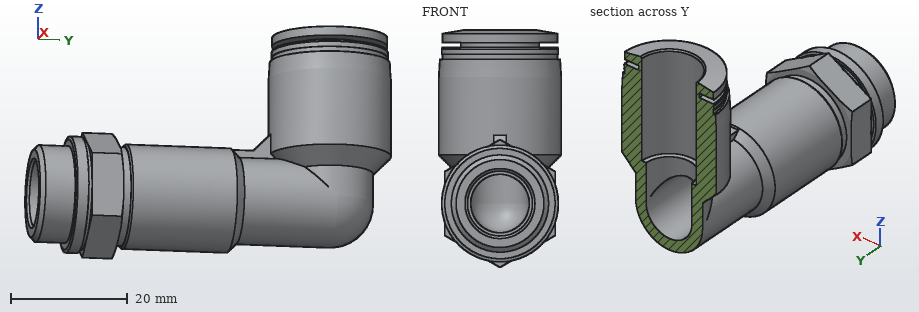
import cadquery as cq
import math


ELBOW_RADIUS = 14.9 / 2
BORE_RADIUS = 10.0 / 2

BODY_RADIUS = 21.0 / 2
BODY_RIM_RADIUS = 10.3
BODY_CONE_BOTTOM = 5.3
BODY_BOTTOM = BODY_CONE_BOTTOM + BODY_RADIUS - ELBOW_RADIUS
BODY_TAPER_START = 21.65
BODY_TOP = 24.7

COLLAR_RADIUS = 20.0 / 2
COLLAR_NECK_RADIUS = 9.9
COLLAR_BOTTOM = 25.55
COLLAR_CHAMFER_START = 26.45
COLLAR_TOP = 26.75
RING_NECK_RADIUS = 13.5 / 2
RING_RADIUS = 19.8 / 2
RING_BOTTOM = 27.55
RING_EDGE_TOP = 29.1
RING_TOP = 29.75
TUBE_BORE_RADIUS = 12.0 / 2
TUBE_MOUTH_RADIUS = 6.3
TUBE_MOUTH_DEPTH = 0.3
TUBE_STOP = 8.4

SLEEVE_RADIUS = 18.0 / 2
SLEEVE_START = 17.65
SLEEVE_CONE_START = SLEEVE_START - (SLEEVE_RADIUS - ELBOW_RADIUS)
SLEEVE_END = 36.1
SLEEVE_END_CHAMFER = 0.3
SLEEVE_NECK_RADIUS = 17.0 / 2

HEX_FLATS = 19.0
HEX_START = 37.55
HEX_END = 43.05
HEX_CHAMFER_LENGTH = 0.3
HEX_CORNER_RADIUS = HEX_FLATS / math.sqrt(3)
HEX_FACE_RADIUS = 9.8

WASHER_NECK_RADIUS = HEX_FLATS / 2
WASHER_RADIUS = 20.0 / 2
WASHER_FRONT_RADIUS = 9.45
WASHER_START = 43.65
WASHER_END = 45.8
WASHER_CHAMFER_LENGTH = 0.2
THREAD_RADIUS = 16.7 / 2
THREAD_CHAMFER = 0.8
ARM_END = 62.2 - BODY_RADIUS
PORT_RADIUS = 11.15 / 2
PORT_MOUTH_RADIUS = 12.0 / 2
PORT_MOUTH_DEPTH = PORT_MOUTH_RADIUS - PORT_RADIUS
PORT_DEPTH = 3.0

RIB_WIDTH = 2.1
RIB_HEIGHT = 8.7
RIB_SLOPE_START = 13.5
RIB_SLOPE_TOP = RIB_HEIGHT + RIB_SLOPE_START - BODY_RADIUS


def turned(profile):
    """Turn (radius, height) points about Z, closing the outline along the axis."""
    bottom = profile[0][1]
    top = profile[-1][1]
    outline = [(0, bottom), *profile, (0, top)]
    return cq.Workplane("XZ").polyline(outline).close().revolve(360, (0, 0, 0), (0, 1, 0))


def along_arm(solid):
    """Lay a solid built along +Z down along -Y."""
    return solid.rotate((0, 0, 0), (1, 0, 0), 90)


def make_socket():
    return turned([
        (ELBOW_RADIUS, 0),
        (ELBOW_RADIUS, BODY_CONE_BOTTOM),
        (BODY_RADIUS, BODY_BOTTOM),
        (BODY_RADIUS, BODY_TAPER_START),
        (BODY_RIM_RADIUS, BODY_TOP),
        (COLLAR_NECK_RADIUS, BODY_TOP),
        (COLLAR_NECK_RADIUS, COLLAR_BOTTOM),
        (COLLAR_RADIUS, COLLAR_BOTTOM),
        (COLLAR_RADIUS, COLLAR_CHAMFER_START),
        (COLLAR_NECK_RADIUS, COLLAR_TOP),
        (RING_NECK_RADIUS, COLLAR_TOP),
        (RING_NECK_RADIUS, RING_BOTTOM),
        (RING_RADIUS, RING_BOTTOM),
        (RING_RADIUS, RING_EDGE_TOP),
        (TUBE_MOUTH_RADIUS, RING_TOP),
    ])


def make_arm():
    return along_arm(turned([
        (ELBOW_RADIUS, 0),
        (ELBOW_RADIUS, SLEEVE_CONE_START),
        (SLEEVE_RADIUS, SLEEVE_START),
        (SLEEVE_RADIUS, SLEEVE_END - SLEEVE_END_CHAMFER),
        (SLEEVE_RADIUS - SLEEVE_END_CHAMFER, SLEEVE_END),
        (SLEEVE_NECK_RADIUS, SLEEVE_END),
        (SLEEVE_NECK_RADIUS, HEX_START),
        (WASHER_NECK_RADIUS, HEX_START),
        (WASHER_NECK_RADIUS, WASHER_START),
        (WASHER_RADIUS, WASHER_START),
        (WASHER_RADIUS, WASHER_END - WASHER_CHAMFER_LENGTH),
        (WASHER_FRONT_RADIUS, WASHER_END),
        (THREAD_RADIUS, WASHER_END),
        (THREAD_RADIUS, ARM_END - THREAD_CHAMFER),
        (THREAD_RADIUS - THREAD_CHAMFER, ARM_END),
    ]))


def make_hexagon():
    prism = (
        cq.Workplane("XY", origin=(0, 0, HEX_START))
        .polygon(6, 2 * HEX_CORNER_RADIUS)
        .extrude(HEX_END - HEX_START)
        .rotate((0, 0, 0), (0, 0, 1), 90)
    )
    corner_limit = turned([
        (HEX_FACE_RADIUS, HEX_START),
        (HEX_CORNER_RADIUS, HEX_START + HEX_CHAMFER_LENGTH),
        (HEX_CORNER_RADIUS, HEX_END),
    ])
    return along_arm(prism.intersect(corner_limit))


def make_rib():
    outline = [
        (0, 0),
        (0, RIB_SLOPE_TOP),
        (-BODY_RADIUS, RIB_SLOPE_TOP),
        (-RIB_SLOPE_START, RIB_HEIGHT),
        (-SLEEVE_START, RIB_HEIGHT),
        (-SLEEVE_START, 0),
    ]
    return cq.Workplane("YZ").polyline(outline).close().extrude(RIB_WIDTH / 2, both=True)


def make_passage():
    """Stepped bores of both legs, joined by a spherical bend."""
    tube_bore = turned([
        (BORE_RADIUS, 0),
        (BORE_RADIUS, TUBE_STOP),
        (TUBE_BORE_RADIUS, TUBE_STOP),
        (TUBE_BORE_RADIUS, RING_TOP - TUBE_MOUTH_DEPTH),
        (TUBE_MOUTH_RADIUS, RING_TOP),
    ])
    port_bore = along_arm(turned([
        (BORE_RADIUS, 0),
        (BORE_RADIUS, ARM_END - PORT_DEPTH),
        (PORT_RADIUS, ARM_END - PORT_DEPTH),
        (PORT_RADIUS, ARM_END - PORT_MOUTH_DEPTH),
        (PORT_MOUTH_RADIUS, ARM_END),
    ]))
    bend = cq.Workplane("XY").sphere(BORE_RADIUS)
    return tube_bore.union(port_bore).union(bend)


elbow_bend = cq.Workplane("XY").sphere(ELBOW_RADIUS)
body = make_socket().union(make_arm()).union(elbow_bend)
body = body.union(make_hexagon()).union(make_rib())
result = body.cut(make_passage())